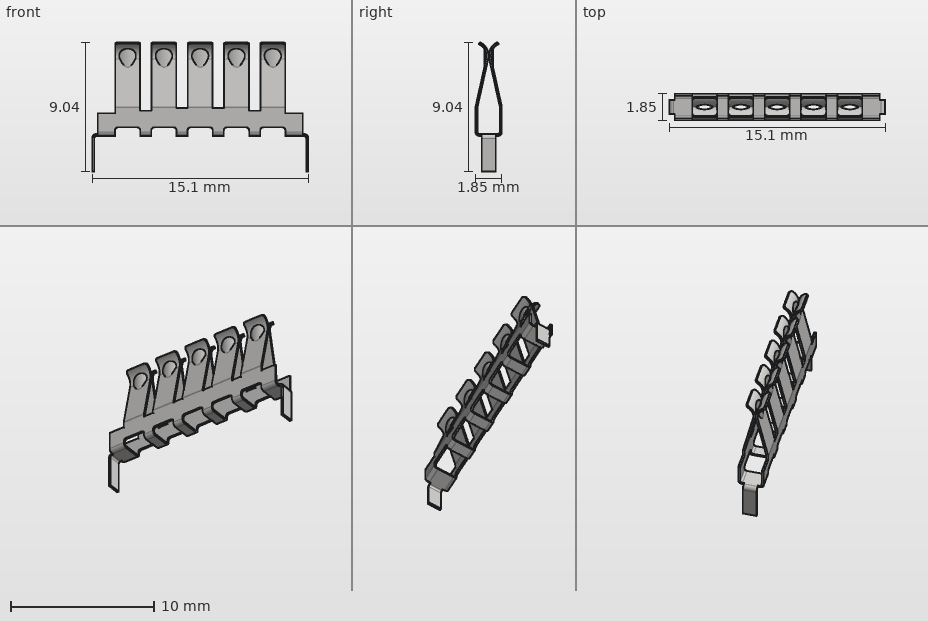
import cadquery as cq
import math

sheet = 0.15
bend_outer = 0.3
bend_inner = bend_outer - sheet

channel_length = 14.35
channel_width = 1.85
floor_bottom = 2.49
floor_top = floor_bottom + sheet
end_wall_top = 4.09
outer_gap_top = 4.27
inner_gap_top = 4.45
relief_top = 3.1
relief_radius = 0.21

finger_count = 5
finger_pitch = 2.54
finger_width = 1.75
root_outer = 0.23
root_z = 4.5
neck_convex = 1.05
neck_concave = neck_convex - sheet
neck_z = 8.1
neck_gap = 0.02
tip_convex_angle = math.radians(64)
tip_concave_angle = math.radians(67)
tip_corner = 0.2

dimple_radius = 1.21
dimple_depth = 0.15
dimple_bottom = 6.95
dimple_top = 8.76
dimple_height = dimple_top - dimple_bottom

overall_length = 15.1
leg_width = 1.0

half_length = channel_length / 2
half_width = channel_width / 2
finger_positions = [(i - (finger_count - 1) / 2) * finger_pitch for i in range(finger_count)]
outer_finger_x = finger_positions[-1]

root_center = (root_outer - half_width, root_z)
neck_center = (-neck_gap / 2 - neck_convex, neck_z)

center_dy = neck_center[0] - root_center[0]
center_dz = neck_center[1] - root_center[1]
lean = (math.asin((root_outer + neck_concave) / math.hypot(center_dy, center_dz))
        - math.atan2(-center_dy, center_dz))


def root_point(radius, angle):
    """Point on the root bend; the angle is the surface's lean from vertical toward +Y."""
    return (root_center[0] - radius * math.cos(angle), root_center[1] + radius * math.sin(angle))


def neck_point(radius, angle):
    """Point on the neck bend; the angle is the surface's lean from vertical toward -Y."""
    return (neck_center[0] + radius * math.cos(angle), neck_center[1] + radius * math.sin(angle))


def block(x_min, x_max, z_min, z_max):
    """Box spanning more than the full channel width."""
    return cq.Workplane("XY").box(
        x_max - x_min, 2 * channel_width, z_max - z_min, centered=(False, True, False)
    ).translate((x_min, 0, z_min))


def make_channel():
    depth = inner_gap_top - floor_bottom
    inner_width = channel_width - 2 * sheet
    on_base = (True, True, False)
    outer = (
        cq.Workplane("XY").box(channel_length, channel_width, depth, centered=on_base)
        .edges("|X and <Z").fillet(bend_outer)
    )
    inner = (
        cq.Workplane("XY").box(channel_length, inner_width, depth, centered=on_base)
        .edges("|X and <Z").fillet(bend_inner)
        .translate((0, 0, sheet))
    )
    channel = outer.cut(inner).translate((0, 0, floor_bottom))

    end_start = outer_finger_x + finger_width / 2
    gap_end = outer_finger_x - finger_width / 2
    gap_start = finger_positions[-2] + finger_width / 2
    for x_min, x_max, top in (
        (end_start, half_length, end_wall_top),
        (-half_length, -end_start, end_wall_top),
        (gap_start, gap_end, outer_gap_top),
        (-gap_end, -gap_start, outer_gap_top),
    ):
        channel = channel.cut(block(x_min, x_max, top, root_z))

    for x in finger_positions:
        relief = block(x - finger_width / 2, x + finger_width / 2, floor_bottom - sheet, relief_top)
        channel = channel.cut(relief.edges("|Y and >Z").fillet(relief_radius))
    return channel


def make_dimple_bulge():
    """Material added on the outer side of the finger: a vertical cylinder clipped by the sheet."""
    outermost_y = -neck_gap / 2 - sheet - dimple_depth
    cylinder = (
        cq.Workplane("XY", origin=(0, outermost_y + dimple_radius, dimple_bottom))
        .circle(dimple_radius).extrude(dimple_height)
    )
    mid_root = root_outer - sheet / 2
    mid_neck = neck_convex - sheet / 2
    outer_side = (
        cq.Workplane("YZ")
        .moveTo(*root_point(mid_root, lean))
        .lineTo(*neck_point(mid_neck, -lean))
        .threePointArc(neck_point(mid_neck, 0), neck_point(mid_neck, tip_convex_angle))
        .close()
        .extrude(finger_width / 2, both=True)
    )
    return cylinder.intersect(outer_side)


def make_finger():
    """Finger on the -Y side, centred on X = 0; its root overlaps the channel wall."""
    root_inner = root_outer - sheet
    finger = (
        cq.Workplane("YZ")
        .moveTo(-half_width, relief_top)
        .lineTo(*root_point(root_outer, 0))
        .threePointArc(root_point(root_outer, lean / 2), root_point(root_outer, lean))
        .lineTo(*neck_point(neck_concave, -lean))
        .threePointArc(neck_point(neck_concave, 0), neck_point(neck_concave, tip_concave_angle))
        .lineTo(*neck_point(neck_convex, tip_convex_angle))
        .threePointArc(neck_point(neck_convex, 0), neck_point(neck_convex, -lean))
        .lineTo(*root_point(root_inner, lean))
        .threePointArc(root_point(root_inner, lean / 2), root_point(root_inner, 0))
        .lineTo(sheet - half_width, relief_top)
        .close()
        .extrude(finger_width / 2, both=True)
        .faces(">Z").edges("not |X").fillet(tip_corner)
    )
    hollow_y = -neck_gap / 2 - dimple_depth + dimple_radius
    hollow = (
        cq.Workplane("XY", origin=(0, hollow_y, dimple_bottom))
        .circle(dimple_radius).extrude(dimple_height)
    )
    return finger.union(make_dimple_bulge()).cut(hollow)


def make_leg():
    """Leg at the -X end: a tongue of the floor bent straight down to Z = 0."""
    outer_x = -overall_length / 2
    bend_x = outer_x + bend_outer
    bend_z = floor_top - bend_outer
    floor_overlap_x = bend_outer - half_length
    diagonal = math.sqrt(0.5)
    return (
        cq.Workplane("XZ")
        .moveTo(outer_x, 0)
        .lineTo(outer_x, bend_z)
        .threePointArc((bend_x - bend_outer * diagonal, bend_z + bend_outer * diagonal), (bend_x, floor_top))
        .lineTo(floor_overlap_x, floor_top)
        .lineTo(floor_overlap_x, floor_bottom)
        .lineTo(bend_x, floor_bottom)
        .threePointArc((bend_x - bend_inner * diagonal, bend_z + bend_inner * diagonal),
                       (outer_x + sheet, bend_z))
        .lineTo(outer_x + sheet, 0)
        .close()
        .extrude(leg_width / 2, both=True)
    )


result = make_channel()

front_finger = make_finger()
back_finger = front_finger.mirror("XZ")
for x in finger_positions:
    result = result.union(front_finger.translate((x, 0, 0)))
    result = result.union(back_finger.translate((x, 0, 0)))

left_leg = make_leg()
result = result.union(left_leg).union(left_leg.mirror("YZ"))